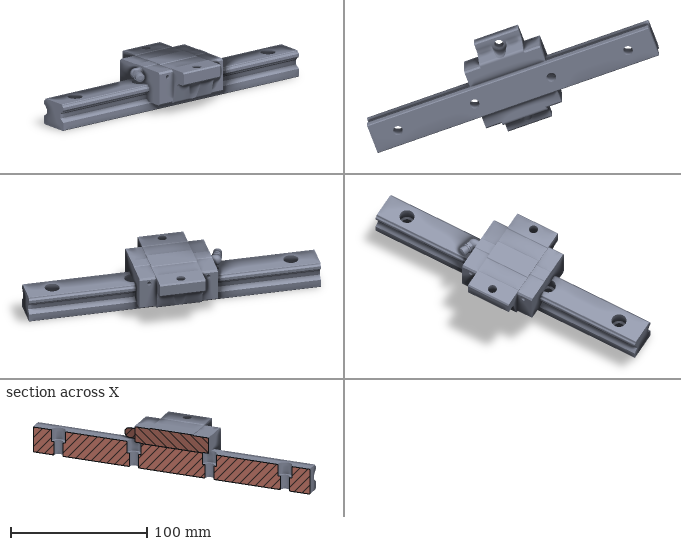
import cadquery as cq
import math

rail_length = 220.0
rail_width = 23.0
rail_height = 20.0
rail_neck_width = 16.0
rail_foot_chamfer = 0.6
base_top_z = 6.3
neck_bottom_z = 8.8
neck_top_z = 12.2
head_bottom_z = 15.7
head_top_z = 17.8
rail_top_width = 19.0
ball_groove_radius = 1.5
ball_groove_depth = 0.3
rail_hole_pitch = 60.0
rail_hole_count = 4
rail_hole_diameter = 7.0
rail_counterbore_diameter = 11.0
rail_counterbore_depth = 9.0

carriage_top_z = 33.0
carriage_bottom_z = 7.0
carriage_length = 59.0
block_length = 34.4
block_width = 73.0
flange_thickness = 10.0
flange_chamfer = 1.0
flange_root_width = 58.0
skirt_bottom_width = 50.0
skirt_fillet = 2.2
flange_root_fillet = 3.0
flange_hole_pitch = 60.0
flange_hole_diameter = 6.65
screw_clearance_diameter = 11.0

recess_inner_x = 8.0
recess_outer_x = 21.5
recess_depth = 0.4
recess_bevel = 0.5

cap_width = 47.0
cap_top_z = 32.2
cap_chamfer = 1.3
cap_bottom_chamfer = 1.2
cap_rib_width = 8.8
cap_rib_height = 0.3
cap_rib_bevel = 0.5
side_hole_diameter = 3.1
side_hole_depth = 3.0
side_hole_y = 22.25
side_hole_z = 27.85

nipple_z = 27.0
elbow_diameter = 8.0
elbow_length = 4.0
seat_diameter = 8.3
seat_thickness = 0.5
nipple_angle = 20.0
hex_sides = 6
hex_across_flats = 7.0
hex_start = 2.5
hex_end = 4.8
collar_diameter = 7.3
collar_start = 5.4
collar_end = 6.4
neck_diameter = 6.0
flare_diameter = 6.65
flare_start = 8.1
flare_end = 11.0
tip_diameter = 3.3
tip_end = 11.6


def mirrored_profile(right_side):
    """Closed outline symmetric about the YZ plane, from its right-hand points."""
    left_side = [(-x, z) for x, z in reversed(right_side)]
    return cq.Workplane("XZ").polyline(right_side + left_side).close()


def ball_groove_cutter(edge_start, edge_end):
    """Pair of mirrored bars that hollow the middle of a slanted head face, given its two edges."""
    (x1, z1), (x2, z2) = edge_start, edge_end
    face_length = math.hypot(x2 - x1, z2 - z1)
    offset = ball_groove_radius - ball_groove_depth
    center_x = (x1 + x2) / 2 + offset * (z2 - z1) / face_length
    center_z = (z1 + z2) / 2 - offset * (x2 - x1) / face_length
    return (
        cq.Workplane("XZ")
        .pushPoints([(center_x, center_z), (-center_x, center_z)])
        .circle(ball_groove_radius).extrude(rail_length / 2, both=True)
    )


def rail_prism():
    """Plain rail bar: a waisted section with a ball groove in each slanted face of the head."""
    half_width = rail_width / 2
    neck_top = (rail_neck_width / 2, neck_top_z)
    head_bottom = (half_width, head_bottom_z)
    head_top = (half_width, head_top_z)
    top_edge = (rail_top_width / 2, rail_height)
    half_profile = [
        (half_width - rail_foot_chamfer, 0),
        (half_width, rail_foot_chamfer),
        (half_width, base_top_z),
        (rail_neck_width / 2, neck_bottom_z),
        neck_top,
        head_bottom,
        head_top,
        top_edge,
    ]
    return (
        mirrored_profile(half_profile).extrude(rail_length / 2, both=True)
        .cut(ball_groove_cutter(neck_top, head_bottom))
        .cut(ball_groove_cutter(head_top, top_edge))
    )


def make_rail():
    """Rail with a row of counterbored mounting holes."""
    first_hole_y = -rail_hole_pitch * (rail_hole_count - 1) / 2
    hole_centers = [(0, first_hole_y + i * rail_hole_pitch) for i in range(rail_hole_count)]
    return (
        rail_prism()
        .faces(">Z").workplane(origin=(0, 0, rail_height))
        .pushPoints(hole_centers)
        .cboreHole(rail_hole_diameter, rail_counterbore_diameter, rail_counterbore_depth)
    )


def make_block():
    """Flanged middle part of the carriage, with its mounting holes and shallow top recesses."""
    flange_bottom_z = carriage_top_z - flange_thickness
    half_width = block_width / 2
    half_profile = [
        (skirt_bottom_width / 2, carriage_bottom_z),
        (flange_root_width / 2, flange_bottom_z),
        (half_width - flange_chamfer, flange_bottom_z),
        (half_width, flange_bottom_z + flange_chamfer),
        (half_width, carriage_top_z - flange_chamfer),
        (half_width - flange_chamfer, carriage_top_z),
    ]
    block = mirrored_profile(half_profile).extrude(block_length / 2, both=True)
    for side in (-1, 1):
        root_point = (side * flange_root_width / 2, 0, flange_bottom_z)
        skirt_point = (side * skirt_bottom_width / 2, 0, carriage_bottom_z)
        block = (
            block
            .edges(cq.selectors.NearestToPointSelector(root_point)).fillet(flange_root_fillet)
            .edges(cq.selectors.NearestToPointSelector(skirt_point)).fillet(skirt_fillet)
        )
        hole_x = side * flange_hole_pitch / 2
        hole = cq.Workplane().center(hole_x, 0).circle(flange_hole_diameter / 2).extrude(carriage_top_z)
        clearance = (
            cq.Workplane().center(hole_x, 0)
            .circle(screw_clearance_diameter / 2).extrude(flange_bottom_z)
        )
        block = block.cut(hole).cut(clearance)
        recess_profile = [
            (side * recess_inner_x, carriage_top_z),
            (side * (recess_inner_x + recess_bevel), carriage_top_z - recess_depth),
            (side * (recess_outer_x - recess_bevel), carriage_top_z - recess_depth),
            (side * recess_outer_x, carriage_top_z),
        ]
        recess = cq.Workplane("XZ").polyline(recess_profile).close().extrude(block_length / 2, both=True)
        block = block.cut(recess)
    return block


def make_cap(side):
    """End cap at the +Y (side = 1) or -Y (side = -1) end of the block, with a low rib along its top."""
    half = cap_width / 2
    half_profile = [
        (half - cap_bottom_chamfer, carriage_bottom_z),
        (half, carriage_bottom_z + cap_bottom_chamfer),
        (half, cap_top_z - cap_chamfer),
        (half - cap_chamfer, cap_top_z),
        (cap_rib_width / 2 + cap_rib_bevel, cap_top_z),
        (cap_rib_width / 2, cap_top_z + cap_rib_height),
    ]
    cap_length = (carriage_length - block_length) / 2
    center_y = side * (block_length + cap_length) / 2
    cap = mirrored_profile(half_profile).extrude(cap_length / 2, both=True).translate((0, center_y, 0))
    for hole_side in (-1, 1):
        hole = (
            cq.Workplane("YZ", origin=(hole_side * half, side * side_hole_y, side_hole_z))
            .circle(side_hole_diameter / 2).extrude(-hole_side * side_hole_depth)
        )
        cap = cap.cut(hole)
    return cap


def make_carriage():
    """Block and both end caps in one piece, with a channel that fits the rail."""
    return make_block().union(make_cap(-1)).union(make_cap(1)).cut(rail_prism())


def make_nipple():
    """Grease nipple on the front cap: an elbow ending in a ball, with a stepped spout from the ball."""
    cap_face_y = -carriage_length / 2
    ball_center = (0, cap_face_y - elbow_length, nipple_z)
    cap_face = cq.Workplane("XZ", origin=(0, cap_face_y, nipple_z))
    seat = cap_face.circle(seat_diameter / 2).extrude(seat_thickness)
    stem = cap_face.circle(elbow_diameter / 2).extrude(elbow_length)
    ball = cq.Workplane(origin=ball_center).sphere(elbow_diameter / 2)
    hexagon = (
        cq.Workplane("YZ", origin=(hex_start, 0, 0))
        .polygon(hex_sides, hex_across_flats, circumscribed=True).extrude(hex_end - hex_start)
        .rotate((0, 0, 0), (1, 0, 0), 180 / hex_sides)
    )
    outline = [
        (0, 0),
        (0, neck_diameter / 2),
        (collar_start, neck_diameter / 2),
        (collar_start, collar_diameter / 2),
        (collar_end, collar_diameter / 2),
        (collar_end, neck_diameter / 2),
        (flare_start, neck_diameter / 2),
        (flare_start, flare_diameter / 2),
        (flare_end, flare_diameter / 2),
        (tip_end, tip_diameter / 2),
        (tip_end, 0),
    ]
    spout = (
        cq.Workplane().polyline(outline).close()
        .revolve(360, (0, 0, 0), (1, 0, 0))
        .union(hexagon)
        .rotate((0, 0, 0), (0, 0, 1), -nipple_angle)
        .translate(ball_center)
    )
    return stem.union(seat).union(ball).union(spout)


rail = make_rail()
carriage = make_carriage()
nipple = make_nipple()
result = cq.Compound.makeCompound([rail.val(), carriage.val(), nipple.val()])